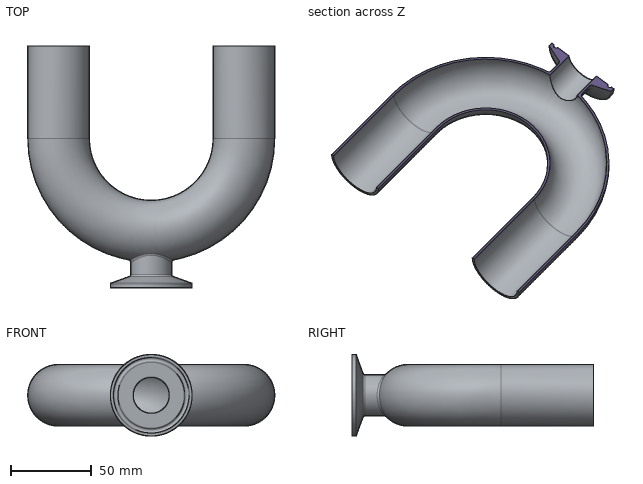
import cadquery as cq
import math

tube_diameter = 38.1
tube_bore = 34.7
bend_radius = 57.2
leg_length = 57.2

branch_diameter = 25.5
branch_bore = 22.1
branch_height = 15.8
joint_fillet = 1.5

flange_diameter = 50.5
rim_thickness = 2.7
cone_angle = 20.0
neck_fillet = 1.2
rim_fillet = 0.5
bore_lip_fillet = 0.3

groove_diameter = 43.9
groove_width = 2.7
groove_depth = 1.2
groove_lip_fillet = 0.3

pick_margin = 0.2

face_y = -(bend_radius + tube_diameter / 2 + branch_height)


def u_shape(diameter):
    """Solid round bar following the leg, half-turn bend and second leg."""
    path = (
        cq.Workplane("XY")
        .moveTo(-bend_radius, leg_length)
        .lineTo(-bend_radius, 0)
        .threePointArc((0, -bend_radius), (bend_radius, 0))
        .lineTo(bend_radius, leg_length)
    )
    start = cq.Workplane("XZ", origin=(-bend_radius, leg_length, 0))
    return start.circle(diameter / 2).sweep(path)


def branch_bar(diameter):
    """Solid round bar from the flange face to the centreline of the bend."""
    face = cq.Workplane("XZ", origin=(0, face_y, 0))
    return face.circle(diameter / 2).extrude(face_y + bend_radius)


def ring_at(y, radius):
    """Selects the circular edges at this height on the branch axis, up to this radius."""
    reach = radius + pick_margin
    return cq.selectors.BoxSelector(
        (-reach, y - pick_margin, -reach), (reach, y + pick_margin, reach), boundingbox=True
    )


def clamp_flange():
    """Rim and cone revolved about the branch axis, blended into the neck."""
    flange_radius = flange_diameter / 2
    neck_radius = branch_diameter / 2
    cone_height = (flange_radius - neck_radius) * math.tan(math.radians(cone_angle))
    rim_y = face_y + rim_thickness
    cone_top_y = rim_y + cone_height
    neck_top_y = cone_top_y + 2 * neck_fillet
    flange = (
        cq.Workplane("XY")
        .moveTo(0, face_y)
        .lineTo(flange_radius, face_y)
        .lineTo(flange_radius, rim_y)
        .lineTo(neck_radius, cone_top_y)
        .lineTo(neck_radius, neck_top_y)
        .lineTo(0, neck_top_y)
        .close()
        .revolve(360, (0, 0, 0), (0, 1, 0))
    )
    flange = flange.edges(ring_at(cone_top_y, neck_radius)).fillet(neck_fillet)
    return flange.edges(ring_at(rim_y, flange_radius)).fillet(rim_fillet)


def gasket_groove():
    """Ring with a circular-arc section, cut into the flange face."""
    middle = groove_diameter / 2
    return (
        cq.Workplane("XY")
        .moveTo(middle - groove_width / 2, face_y)
        .threePointArc((middle, face_y + groove_depth), (middle + groove_width / 2, face_y))
        .close()
        .revolve(360, (0, 0, 0), (0, 1, 0))
    )


def joint_edges():
    """Selects the curve where the branch meets the outside of the bend."""
    reach = branch_diameter / 2 + pick_margin
    bend_outside_y = -(bend_radius + tube_diameter / 2)
    return cq.selectors.BoxSelector(
        (-reach, bend_outside_y, -reach), (reach, -bend_radius, reach), boundingbox=True
    )


body = u_shape(tube_diameter).union(branch_bar(branch_diameter))
body = body.edges(joint_edges()).fillet(joint_fillet)
body = body.union(clamp_flange())
body = body.cut(u_shape(tube_bore)).cut(branch_bar(branch_bore))

groove_outer_radius = (groove_diameter + groove_width) / 2
body = body.edges(ring_at(face_y, branch_bore / 2)).fillet(bore_lip_fillet)
body = body.cut(gasket_groove())
result = body.edges(
    ring_at(face_y, groove_outer_radius) - ring_at(face_y, branch_bore / 2 + bore_lip_fillet)
).fillet(groove_lip_fillet)